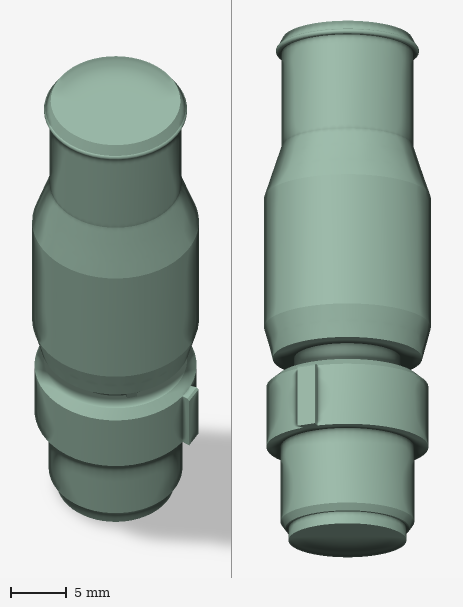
import cadquery as cq

tip_chamfer_bottom = 1.15
tip_chamfer_top = 1.75
collar_bottom = 8.75
collar_chamfer_bottom = 14.4
collar_top = 15.1
body_bottom = 17.05
body_lower_shoulder = 19.98
body_upper_shoulder = 32.1
stem_bottom = 36.9
lip_bottom = 45.7
lip_middle = 45.9
lip_top = 46.1
total_height = 47.0

tip_radius = 5.3
tip_chamfer_radius = 5.6
plug_radius = 6.0
collar_radius = 7.3
collar_top_radius = 6.45
neck_radius = 4.8
body_bottom_radius = 6.7
body_diameter = 15.0
body_radius = body_diameter / 2
stem_radius = 5.9
lip_radius = 6.45
lip_edge_radius = 6.3
cap_radius = 5.85

lug_reach = 0.4
lug_height = 0.4
lug_width = 0.95

marker_angle = 45
marker_outer_reach = 8.0
marker_base_width = 1.55
marker_outer_width = 1.8
marker_chamfer = 0.2


def turned_body():
    """Plug, collar, neck, grip body and lipped stem as one revolved outline."""
    outline = (
        cq.Workplane("XZ")
        .moveTo(0, 0)
        .lineTo(tip_radius, 0)
        .lineTo(tip_radius, tip_chamfer_bottom)
        .lineTo(tip_chamfer_radius, tip_chamfer_bottom)
        .lineTo(plug_radius, tip_chamfer_top)
        .lineTo(plug_radius, collar_bottom)
        .lineTo(collar_radius, collar_bottom)
        .lineTo(collar_radius, collar_chamfer_bottom)
        .lineTo(collar_top_radius, collar_top)
        .lineTo(neck_radius, collar_top)
        .lineTo(neck_radius, body_bottom)
        .lineTo(body_bottom_radius, body_bottom)
        .lineTo(body_radius, body_lower_shoulder)
        .lineTo(body_radius, body_upper_shoulder)
        .lineTo(stem_radius, stem_bottom)
        .lineTo(stem_radius, lip_bottom)
        .lineTo(lip_edge_radius, lip_bottom)
        .threePointArc((lip_radius, lip_middle), (lip_edge_radius, lip_top))
        .lineTo(cap_radius, total_height)
        .lineTo(0, total_height)
        .close()
    )
    return outline.revolve(360, (0, 0, 0), (0, 1, 0))


def neck_lug():
    """Wedge on the +X side of the neck, sloping down and outwards to the collar."""
    root_radius = neck_radius - lug_reach
    return (
        cq.Workplane("XZ")
        .moveTo(root_radius, collar_top)
        .lineTo(neck_radius + lug_reach, collar_top)
        .lineTo(neck_radius, collar_top + lug_height)
        .lineTo(root_radius, collar_top + lug_height)
        .close()
        .extrude(lug_width / 2, both=True)
    )


def collar_marker():
    """Rib along the straight side of the collar that widens outwards."""
    root_radius = plug_radius
    rib = (
        cq.Workplane("XY", origin=(0, 0, collar_bottom))
        .moveTo(root_radius, -marker_base_width / 2)
        .lineTo(collar_radius, -marker_base_width / 2)
        .lineTo(marker_outer_reach, -marker_outer_width / 2)
        .lineTo(marker_outer_reach, marker_outer_width / 2)
        .lineTo(collar_radius, marker_base_width / 2)
        .lineTo(root_radius, marker_base_width / 2)
        .close()
        .extrude(collar_chamfer_bottom - collar_bottom)
    )
    rib = rib.faces(">X").edges(">Z").chamfer(marker_chamfer)
    return rib.rotate((0, 0, 0), (0, 0, 1), marker_angle)


result = turned_body().union(collar_marker())
for side_angle in (0, 180):
    result = result.union(neck_lug().rotate((0, 0, 0), (0, 0, 1), side_angle))